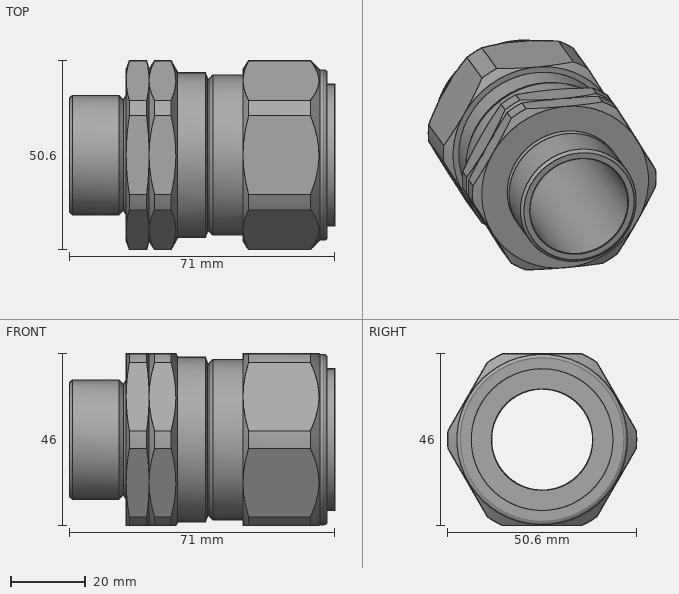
import cadquery as cq
import math


LENGTH = 70.95

BORE_RADIUS = 13.5
BORE_CHAMFER = 0.15

ACROSS_FLATS = 46.0
FLAT_RADIUS = ACROSS_FLATS / 2
CORNER_DIAMETER = 50.6
CORNER_RADIUS = CORNER_DIAMETER / 2

THREAD_RADIUS = 15.95
THREAD_CHAMFER = 0.8
THREAD_END = 13.2
RELIEF_DEPTH = 1.2

BODY_NUT_START = 15.2
BODY_NUT_FRONT_BEVEL = 0.85
BODY_NUT_BACK_BEVEL = 0.65
NUT_JOINT = 21.3
MIDDLE_NUT_FRONT_BEVEL = 1.5
MIDDLE_NUT_BACK_BEVEL = 1.8
MIDDLE_NUT_END = 28.95

FRONT_COLLAR_RADIUS = 22.1
FRONT_COLLAR_END = 36.3
GROOVE_RADIUS = 20.3
GROOVE_FLOOR_START = 37.0
GROOVE_FLOOR_END = 37.25
REAR_COLLAR_RADIUS = 21.4
REAR_COLLAR_START = 38.3

CLAMP_NUT_START = 46.4
CLAMP_NUT_FRONT_BEVEL = 1.5
RIM_RADIUS = 22.8
CLAMP_NUT_BACK_BEVEL = CORNER_RADIUS - RIM_RADIUS
CLAMP_NUT_END = 66.9
RIM_END = 68.9
RIM_FILLET = 0.9
SLEEVE_RADIUS = 18.95


def revolve_about_x(profile):
    """Close a profile given in (x, radius) and turn it about the X axis."""
    return profile.close().revolve(360, (0, 0, 0), (1, 0, 0))


def hex_nut(start, end, front_bevel, back_bevel, back_radius=FLAT_RADIUS):
    """Hexagon with flats facing +Z and -Z, rounded corners and conical bevels at both ends."""
    envelope = revolve_about_x(
        cq.Workplane("XY")
        .moveTo(start, 0)
        .lineTo(start, FLAT_RADIUS)
        .lineTo(start + front_bevel, CORNER_RADIUS)
        .lineTo(end - back_bevel, CORNER_RADIUS)
        .lineTo(end, back_radius)
        .lineTo(end, 0)
    )
    sharp_corner_diameter = ACROSS_FLATS / math.cos(math.radians(30))
    prism = (
        cq.Workplane("YZ", origin=(start, 0, 0))
        .polygon(6, sharp_corner_diameter)
        .extrude(end - start)
    )
    return prism.intersect(envelope)


def round_body():
    """All turned surfaces: thread, relief, collars, groove, rim and sleeve."""
    relief_radius = THREAD_RADIUS - RELIEF_DEPTH
    return revolve_about_x(
        cq.Workplane("XY")
        .moveTo(0, 0)
        .lineTo(0, THREAD_RADIUS - THREAD_CHAMFER)
        .lineTo(THREAD_CHAMFER, THREAD_RADIUS)
        .lineTo(THREAD_END, THREAD_RADIUS)
        .lineTo(THREAD_END + RELIEF_DEPTH, relief_radius)
        .lineTo(BODY_NUT_START, THREAD_RADIUS)
        .lineTo(NUT_JOINT, THREAD_RADIUS)
        .lineTo(NUT_JOINT, FRONT_COLLAR_RADIUS)
        .lineTo(FRONT_COLLAR_END, FRONT_COLLAR_RADIUS)
        .lineTo(GROOVE_FLOOR_START, GROOVE_RADIUS)
        .lineTo(GROOVE_FLOOR_END, GROOVE_RADIUS)
        .lineTo(REAR_COLLAR_START, REAR_COLLAR_RADIUS)
        .lineTo(CLAMP_NUT_END, REAR_COLLAR_RADIUS)
        .lineTo(CLAMP_NUT_END, RIM_RADIUS)
        .lineTo(RIM_END - RIM_FILLET, RIM_RADIUS)
        .radiusArc((RIM_END, RIM_RADIUS - RIM_FILLET), RIM_FILLET)
        .lineTo(RIM_END, SLEEVE_RADIUS)
        .lineTo(LENGTH, SLEEVE_RADIUS)
        .lineTo(LENGTH, 0)
    )


def bore():
    """Through bore with a small chamfer at the threaded end."""
    return revolve_about_x(
        cq.Workplane("XY")
        .moveTo(0, 0)
        .lineTo(0, BORE_RADIUS + BORE_CHAMFER)
        .lineTo(BORE_CHAMFER, BORE_RADIUS)
        .lineTo(LENGTH, BORE_RADIUS)
        .lineTo(LENGTH, 0)
    )


body_nut = hex_nut(BODY_NUT_START, NUT_JOINT, BODY_NUT_FRONT_BEVEL, BODY_NUT_BACK_BEVEL)
middle_nut = hex_nut(
    NUT_JOINT, MIDDLE_NUT_END, MIDDLE_NUT_FRONT_BEVEL, MIDDLE_NUT_BACK_BEVEL, FRONT_COLLAR_RADIUS
)
clamp_nut = hex_nut(
    CLAMP_NUT_START, CLAMP_NUT_END, CLAMP_NUT_FRONT_BEVEL, CLAMP_NUT_BACK_BEVEL, RIM_RADIUS
)

result = round_body().union(body_nut).union(middle_nut).union(clamp_nut).cut(bore())